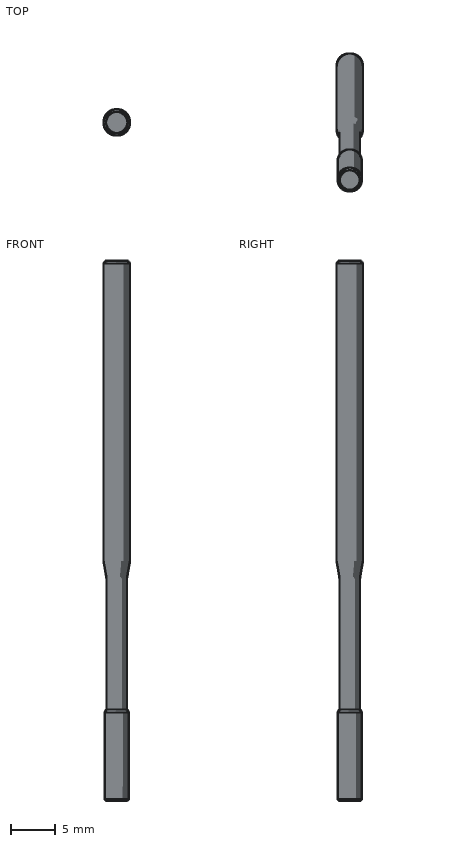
import cadquery as cq
import math

total_length = 61.0
cutter_length = 10.0
shank_length = 33.95

shank_diameter = 3.0
neck_diameter = 2.35
cutter_diameter = 2.76

taper_half_angle = 10.0
taper_fillet_radius = 1.0
shoulder_half_angle = 30.0
shank_end_chamfer = 0.3
tip_chamfer = 0.25

shank_radius = shank_diameter / 2
neck_radius = neck_diameter / 2
cutter_radius = cutter_diameter / 2


def cone_height(large_radius, small_radius, half_angle):
    """Axial length of a cone between two radii."""
    return (large_radius - small_radius) / math.tan(math.radians(half_angle))


neck_start = cutter_length + cone_height(cutter_radius, neck_radius, shoulder_half_angle)
shank_start = total_length - shank_length
neck_end = shank_start - cone_height(shank_radius, neck_radius, taper_half_angle)


def make_cutter():
    """Cutting head: a plain cylinder with a chamfered tip."""
    blank = cq.Workplane("XY").circle(cutter_radius).extrude(cutter_length)
    return blank.faces("<Z").chamfer(tip_chamfer)


def make_holder():
    """Shoulder cone on the cutter, neck, taper and shank, turned as one piece."""
    turned = (
        cq.Workplane("XZ")
        .moveTo(0, cutter_length)
        .lineTo(cutter_radius, cutter_length)
        .lineTo(neck_radius, neck_start)
        .lineTo(neck_radius, neck_end)
        .lineTo(shank_radius, shank_start)
        .lineTo(shank_radius, total_length)
        .lineTo(0, total_length)
        .close()
        .revolve(360, (0, 0, 0), (0, 1, 0))
    )
    turned = turned.faces(">Z").chamfer(shank_end_chamfer)
    taper_foot = cq.selectors.NearestToPointSelector((0, 0, neck_end))
    return turned.edges("%CIRCLE").edges(taper_foot).fillet(taper_fillet_radius)


cutter = make_cutter()
holder = make_holder()
result = cq.Compound.makeCompound([cutter.val(), holder.val()])